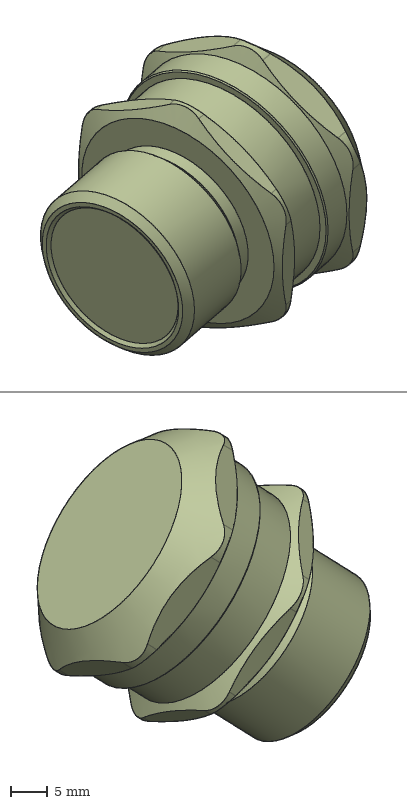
import cadquery as cq
import math

total_length = 37.65
thread_diameter = 26.45
neck_diameter = 24.15
body_diameter = 33.0
collar_diameter = 35.5
nut_across_flats = 36.0
flange_across_flats = 35.0
hex_corner_radius = 5.1

thread_end = 11.9
flange_start = 15.05
flange_end = 19.0
collar_start = 25.6
nut_start = 30.15

thread_chamfer = (thread_diameter - neck_diameter) / 2
collar_chamfer = 0.2
nut_end_diameter = 29.45
hex_cone_slope = math.tan(math.radians(60))

recess_mouth_diameter = 22.77
recess_floor_diameter = 21.8
recess_depth = (recess_mouth_diameter - recess_floor_diameter) / 2


def revolve_profile(points):
    """Revolve (radius, Y) points, closed onto the axis, about the Y axis."""
    first_y = points[0][1]
    last_y = points[-1][1]
    outline = [(0, first_y)] + points + [(0, last_y)]
    return cq.Workplane("XY").polyline(outline).close().revolve(360, (0, 0), (0, 1))


def cylinder(diameter, start, end):
    return revolve_profile([(diameter / 2, start), (diameter / 2, end)])


def rounded_hexagon(across_flats, start, end):
    """Hexagonal prism along Y with flats facing X and rounded corners."""
    corner_diameter = across_flats / math.cos(math.radians(30))
    return (
        cq.Workplane("XZ", origin=(0, start, 0))
        .transformed(rotate=(0, 0, 90))
        .polygon(6, corner_diameter)
        .extrude(start - end)
        .edges("|Y")
        .fillet(hex_corner_radius)
    )


def corner_reach(across_flats):
    """Distance from the axis to the tip of a rounded hexagon corner."""
    flat_to_arc_centre = across_flats / 2 - hex_corner_radius
    return flat_to_arc_centre / math.cos(math.radians(30)) + hex_corner_radius


def make_thread():
    radius = thread_diameter / 2
    neck_radius = neck_diameter / 2
    return revolve_profile([
        (neck_radius, 0),
        (radius, thread_chamfer),
        (radius, thread_end),
        (neck_radius, thread_end + thread_chamfer),
        (neck_radius, flange_start),
    ])


def make_flange():
    """Hexagon turned down to the body diameter by a cone on both faces."""
    face_radius = body_diameter / 2
    tip_radius = corner_reach(flange_across_flats)
    cone_length = (tip_radius - face_radius) / hex_cone_slope
    envelope = revolve_profile([
        (face_radius, flange_start),
        (tip_radius, flange_start + cone_length),
        (tip_radius, flange_end - cone_length),
        (face_radius, flange_end),
    ])
    return rounded_hexagon(flange_across_flats, flange_start, flange_end).intersect(envelope)


def make_collar():
    return cylinder(collar_diameter, collar_start, nut_start).faces("<Y").chamfer(collar_chamfer)


def make_nut():
    """Hexagon with a shallow cone at the collar and a 45 degree cone at the free end."""
    face_radius = collar_diameter / 2
    end_radius = nut_end_diameter / 2
    tip_radius = corner_reach(nut_across_flats)
    front_cone_length = (tip_radius - face_radius) / hex_cone_slope
    end_cone_length = tip_radius - end_radius
    envelope = revolve_profile([
        (face_radius, nut_start),
        (tip_radius, nut_start + front_cone_length),
        (tip_radius, total_length - end_cone_length),
        (end_radius, total_length),
    ])
    return rounded_hexagon(nut_across_flats, nut_start, total_length).intersect(envelope)


recess = revolve_profile([
    (recess_mouth_diameter / 2, 0),
    (recess_floor_diameter / 2, recess_depth),
])

result = (
    make_thread()
    .union(make_flange())
    .union(cylinder(body_diameter, flange_end, collar_start))
    .union(make_collar())
    .union(make_nut())
    .cut(recess)
)